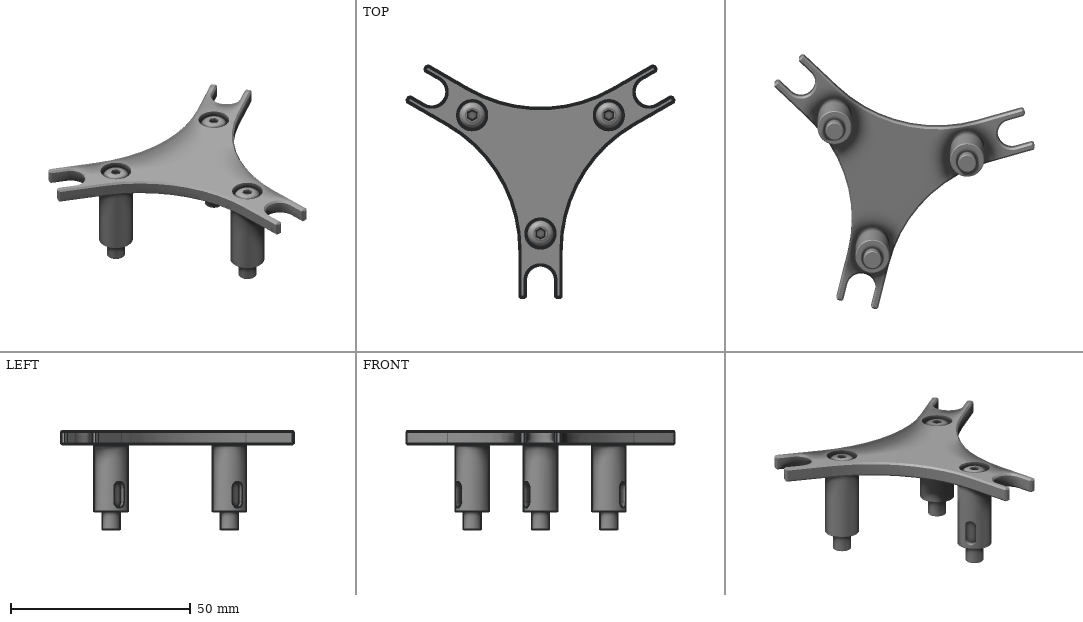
import cadquery as cq
import math

arm_count = 3
first_arm_angle = -90
plate_thickness = 4.0
arm_reach = 40.0
arm_half_width = 6.0
web_radius = 40.0
edge_chamfer = 0.49

slot_width = 8.0
slot_radius = slot_width / 2
slot_center_distance = 35.0

screw_distance = 22.0
seat_diameter = 8.5
seat_depth = 2.5

head_diameter = 7.6
head_rim_height = 0.2
head_height = 2.2
crown_diameter = 3.8
dome_bulge = 0.5
shank_diameter = 4.0
shank_length = 7.5
socket_across_flats = 2.5
socket_depth = 1.3

post_diameter = 9.5
post_length = 18.7
post_chamfer = 0.2
spigot_diameter = 5.0
spigot_length = 5.0
spigot_chamfer = 0.2

window_width = 3.2
window_height = 7.2
window_center_z = -13.9
window_floor_distance = 2.5
window_angles = [210, 330, 210]

seat_floor_z = plate_thickness - seat_depth
arm_angles = [first_arm_angle + i * 360 / arm_count for i in range(arm_count)]


def polar(distance, angle, offset=0.0):
    """Point at a distance along a direction, shifted sideways to the left of it."""
    a = math.radians(angle)
    return (
        distance * math.cos(a) - offset * math.sin(a),
        distance * math.sin(a) + offset * math.cos(a),
    )


screw_points = [polar(screw_distance, angle) for angle in arm_angles]


def plate_outline():
    """Arms with parallel sides, joined by concave arcs tangent to those sides."""
    half_step = 180 / arm_count
    tangent_distance = (arm_half_width + web_radius) / math.tan(math.radians(half_step))
    web_center_distance = (arm_half_width + web_radius) / math.sin(math.radians(half_step))
    web_middle_distance = web_center_distance - web_radius

    outline = cq.Workplane("XY").moveTo(*polar(tangent_distance, arm_angles[0], -arm_half_width))
    for angle in arm_angles:
        outline = (
            outline.lineTo(*polar(arm_reach, angle, -arm_half_width))
            .lineTo(*polar(arm_reach, angle, arm_half_width))
            .lineTo(*polar(tangent_distance, angle, arm_half_width))
            .threePointArc(
                polar(web_middle_distance, angle + half_step),
                polar(tangent_distance, angle + 2 * half_step, -arm_half_width),
            )
        )
    return outline.close()


def arm_slot(angle):
    """Round-ended cutter running out through the end of an arm."""
    end = 2 * arm_reach
    return (
        cq.Workplane("XY")
        .moveTo(*polar(end, angle, -slot_radius))
        .lineTo(*polar(slot_center_distance, angle, -slot_radius))
        .threePointArc(
            polar(slot_center_distance - slot_radius, angle),
            polar(slot_center_distance, angle, slot_radius),
        )
        .lineTo(*polar(end, angle, slot_radius))
        .close()
        .extrude(plate_thickness)
    )


def make_plate():
    """Plate with bevelled rims and tip corners, a round seat and a shank hole for each screw."""
    plate = plate_outline().extrude(plate_thickness)
    for angle in arm_angles:
        plate = plate.cut(arm_slot(angle))
    plate = plate.faces("<Z or >Z").edges().chamfer(edge_chamfer)
    for angle in arm_angles:
        for side in (-1, 1):
            for offset in (slot_radius, arm_half_width):
                x, y = polar(arm_reach, angle, side * offset)
                corner = cq.selectors.NearestToPointSelector((x, y, plate_thickness / 2))
                plate = plate.edges("|Z").edges(corner).chamfer(edge_chamfer)
    seats = cq.Workplane("XY", origin=(0, 0, seat_floor_z)).pushPoints(screw_points)
    plate = plate.cut(seats.circle(seat_diameter / 2).extrude(seat_depth))
    shank_holes = cq.Workplane("XY").pushPoints(screw_points)
    return plate.cut(shank_holes.circle(shank_diameter / 2).extrude(plate_thickness))


def make_screw(point):
    """Domed head resting on the seat floor, with a hexagon socket and a plain shank."""
    head_radius = head_diameter / 2
    crown_radius = crown_diameter / 2
    shank_radius = shank_diameter / 2
    dome_width = head_radius - crown_radius
    dome_height = head_height - head_rim_height
    dome_chord = math.hypot(dome_width, dome_height)
    dome_middle = (
        (head_radius + crown_radius) / 2 + dome_bulge * dome_height / dome_chord,
        (head_rim_height + head_height) / 2 + dome_bulge * dome_width / dome_chord,
    )
    screw = (
        cq.Workplane("XZ")
        .moveTo(0, -shank_length)
        .lineTo(shank_radius, -shank_length)
        .lineTo(shank_radius, 0)
        .lineTo(head_radius, 0)
        .lineTo(head_radius, head_rim_height)
        .threePointArc(dome_middle, (crown_radius, head_height))
        .lineTo(0, head_height)
        .close()
        .revolve(360, (0, 0), (0, 1))
    )
    socket_sides = 6
    across_corners = socket_across_flats / math.cos(math.pi / socket_sides)
    socket = (
        cq.Workplane("XY", origin=(0, 0, head_height - socket_depth))
        .transformed(rotate=(0, 0, 90))
        .polygon(socket_sides, across_corners)
        .extrude(socket_depth)
    )
    return screw.cut(socket).translate((*point, seat_floor_z))


def make_standoff(point, window_angle):
    """Round post under the plate with a spigot below, a screw hole above and a side window."""
    post = cq.Workplane("XY").circle(post_diameter / 2).extrude(-post_length)
    post = post.faces("<Z or >Z").edges().chamfer(post_chamfer)
    spigot = (
        cq.Workplane("XY", origin=(0, 0, -post_length))
        .circle(spigot_diameter / 2)
        .extrude(-spigot_length)
        .faces("<Z")
        .edges()
        .chamfer(spigot_chamfer)
    )
    hole_depth = shank_length - seat_floor_z
    screw_hole = cq.Workplane("XY").circle(shank_diameter / 2).extrude(-hole_depth)
    window = (
        cq.Workplane("YZ", origin=(window_floor_distance, 0, window_center_z))
        .slot2D(window_height, window_width, 90)
        .extrude(post_diameter)
        .rotate((0, 0, 0), (0, 0, 1), window_angle)
    )
    return post.union(spigot).cut(screw_hole).cut(window).translate((*point, 0))


plate = make_plate()
screws = [make_screw(point) for point in screw_points]
standoffs = [make_standoff(point, angle) for point, angle in zip(screw_points, window_angles)]

result = cq.Compound.makeCompound(
    [
        plate.val(),
        *[screw.val() for screw in screws],
        *[standoff.val() for standoff in standoffs],
    ]
)